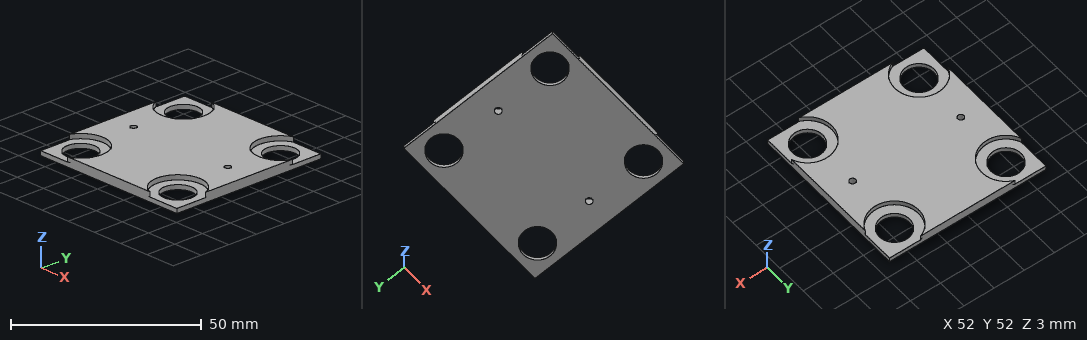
import cadquery as cq

plate_side = 52.0
plate_thickness = 3.0

corner_hole_spacing = 37.0
corner_hole_diameter = 10.0
recess_diameter = 16.0
recess_depth = plate_thickness / 2
recess_floor = plate_thickness - recess_depth

small_hole_spacing = 36.0
small_hole_diameter = 2.0


def corner_recess(x_side, y_side):
    """Round pocket around one corner hole, with the plate corner beyond it cleared."""
    hole_x = x_side * corner_hole_spacing / 2
    hole_y = y_side * corner_hole_spacing / 2
    corner_x = x_side * plate_side / 2
    corner_y = y_side * plate_side / 2
    corner_reach = (plate_side - corner_hole_spacing) / 2

    floor_plane = cq.Workplane("XY").workplane(offset=recess_floor)
    pocket = floor_plane.center(hole_x, hole_y).circle(recess_diameter / 2).extrude(recess_depth)
    corner_block = (
        floor_plane.center((hole_x + corner_x) / 2, (hole_y + corner_y) / 2)
        .rect(corner_reach, corner_reach)
        .extrude(recess_depth)
    )
    return pocket.union(corner_block)


plate = cq.Workplane("XY").rect(plate_side, plate_side).extrude(plate_thickness)

for x_side in (-1, 1):
    for y_side in (-1, 1):
        plate = plate.cut(corner_recess(x_side, y_side))

corner_holes = (
    cq.Workplane("XY")
    .rarray(corner_hole_spacing, corner_hole_spacing, 2, 2)
    .circle(corner_hole_diameter / 2)
    .extrude(plate_thickness)
)

small_holes = (
    cq.Workplane("XY")
    .pushPoints([(-small_hole_spacing / 2, 0), (small_hole_spacing / 2, 0)])
    .circle(small_hole_diameter / 2)
    .extrude(plate_thickness)
)

result = plate.cut(corner_holes).cut(small_holes)